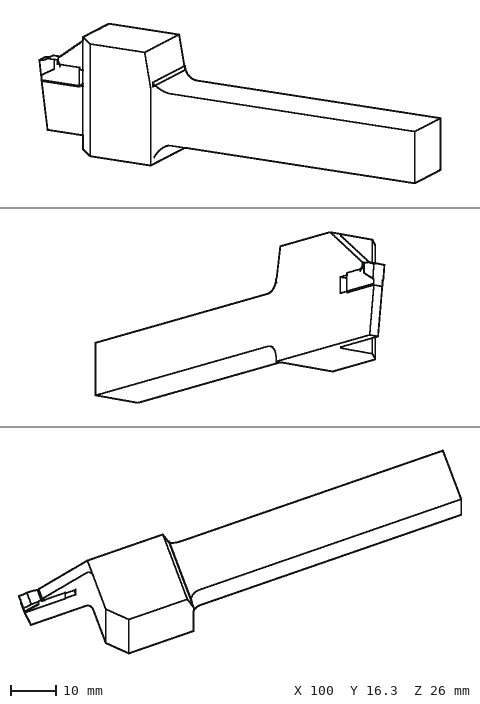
import cadquery as cq

TOOL_LENGTH = 100
HEAD_HEIGHT = 26
HEAD_DEPTH = 16
HEAD_FRONT_X = 16.1
HEAD_REAR_X = 35.4
HEAD_REAR_TOP_X = 33.9
REAR_SLOPE_START_Z = 18
HEAD_CHAMFER = 4
SHANK_SIZE = 12
SHANK_BASE_Z = 4
SHANK_TOP_Z = SHANK_BASE_Z + SHANK_SIZE
NECK_RADIUS = 3

BLADE_THICKNESS = 2.4
BLADE_TOE_X = 1.9
BLADE_ROOT_RADIUS = 1.2
JAW_TIP_X = 4.6
JAW_TIP_TOP_Z = 17.1
JAW_BEVEL = 0.5

SEAT_FLOOR_Z = 11.1
SEAT_ROOF_Z = 15.6
SEAT_FRONT_X = 0.4
SEAT_END_X = 10
INSERT_CENTER_Y = -BLADE_THICKNESS / 2
INSERT_HALF_WIDTH = 1.3
INSERT_OVERHANG = INSERT_HALF_WIDTH - BLADE_THICKNESS / 2
NOSE_TOP_Z = 16.6
NOSE_BACK_X = 4.4
CUTTING_EDGE_Z = 16
CHIP_GROOVE_X = 1
CHIP_GROOVE_Z = 16.1
CHIP_RISE_END_X = 1.9
NOSE_HALF_WIDTH = 1.5
NOSE_FLANK_END_X = 3.7
NOSE_FLANK_END_HALF_WIDTH = 1.4
NOSE_RELIEF_Z = 12.5
NOSE_RELIEF_BACK_Z = 14.4

WINDOW_END_X = 12.5
WINDOW_FLOOR_Z = 11.4
WINDOW_ROOF_Z = 15.1


def side_plate(points, back_y, front_y):
    """Extrude an XZ outline from back_y toward -Y as far as front_y."""
    plane = cq.Workplane("XZ", origin=(0, back_y, 0))
    return plane.polyline(points).close().extrude(back_y - front_y)


def make_tool_plan():
    """Plan of the head and blade, full height, with the blade root rounded."""
    plan = (
        cq.Workplane("XY")
        .polyline([
            (0, 0),
            (HEAD_REAR_X, 0),
            (HEAD_REAR_X, -HEAD_DEPTH),
            (HEAD_FRONT_X + HEAD_CHAMFER, -HEAD_DEPTH),
            (HEAD_FRONT_X, -HEAD_DEPTH + HEAD_CHAMFER),
            (HEAD_FRONT_X, -BLADE_THICKNESS),
            (0, -BLADE_THICKNESS),
        ])
        .close()
        .extrude(HEAD_HEIGHT)
    )
    root = cq.selectors.NearestToPointSelector((HEAD_FRONT_X, -BLADE_THICKNESS, HEAD_HEIGHT / 2))
    return plan.edges("|Z").edges(root).fillet(BLADE_ROOT_RADIUS)


def make_head():
    """Trim the plan to its side outline, including the insert seat."""
    outline = [
        (BLADE_TOE_X, 0),
        (HEAD_REAR_X, 0),
        (HEAD_REAR_X, REAR_SLOPE_START_Z),
        (HEAD_REAR_TOP_X, HEAD_HEIGHT),
        (HEAD_FRONT_X, HEAD_HEIGHT),
        (JAW_TIP_X, JAW_TIP_TOP_Z),
        (JAW_TIP_X, SEAT_ROOF_Z + JAW_BEVEL),
        (JAW_TIP_X + JAW_BEVEL, SEAT_ROOF_Z),
        (SEAT_END_X, SEAT_ROOF_Z),
        (SEAT_END_X, WINDOW_ROOF_Z),
        (WINDOW_END_X, WINDOW_ROOF_Z),
        (WINDOW_END_X, WINDOW_FLOOR_Z),
        (SEAT_END_X, WINDOW_FLOOR_Z),
        (SEAT_END_X, SEAT_FLOOR_Z),
        (SEAT_FRONT_X, SEAT_FLOOR_Z),
    ]
    return make_tool_plan().intersect(side_plate(outline, 0, -HEAD_DEPTH))


def make_neck():
    """Flare that blends the shank into the head on its top, front and base."""
    end_x = HEAD_REAR_X + NECK_RADIUS
    depth = SHANK_SIZE + NECK_RADIUS
    side = (
        cq.Workplane("XZ")
        .moveTo(HEAD_REAR_X, SHANK_BASE_Z - NECK_RADIUS)
        .radiusArc((end_x, SHANK_BASE_Z), NECK_RADIUS)
        .lineTo(end_x, SHANK_TOP_Z)
        .radiusArc((HEAD_REAR_X, SHANK_TOP_Z + NECK_RADIUS), NECK_RADIUS)
        .close()
        .extrude(depth)
    )
    plan = (
        cq.Workplane("XY")
        .moveTo(HEAD_REAR_X, 0)
        .lineTo(end_x, 0)
        .lineTo(end_x, -SHANK_SIZE)
        .radiusArc((HEAD_REAR_X, -depth), -NECK_RADIUS)
        .close()
        .extrude(HEAD_HEIGHT)
    )
    return side.intersect(plan)


def make_holder():
    shank = cq.Workplane("XY").box(
        TOOL_LENGTH - HEAD_REAR_X, SHANK_SIZE, SHANK_SIZE, centered=False
    ).translate((HEAD_REAR_X, -SHANK_SIZE, SHANK_BASE_Z))
    return make_head().union(shank).union(make_neck())


def make_insert_plate(lower_points, half_width):
    """Plate with the curved chip groove on top, closed by points from the top rear round to the front."""
    plane = cq.Workplane("XZ", origin=(0, INSERT_CENTER_Y, 0))
    return (
        plane.moveTo(0, CUTTING_EDGE_Z)
        .threePointArc((CHIP_GROOVE_X, CHIP_GROOVE_Z), (CHIP_RISE_END_X, NOSE_TOP_Z))
        .polyline(lower_points, includeCurrent=True)
        .close()
        .extrude(half_width, both=True)
    )


def make_edge_bevel(side, start_x, edge_z, bevel_end_z):
    """Wedge that bevels one long edge of the part of the insert standing out of the blade."""
    outer_y = INSERT_CENTER_Y + side * INSERT_HALF_WIDTH
    inner_y = outer_y - side * INSERT_OVERHANG
    return (
        cq.Workplane("YZ", origin=(start_x, 0, 0))
        .polyline([(outer_y, edge_z), (inner_y, edge_z), (outer_y, bevel_end_z)])
        .close()
        .extrude(SEAT_END_X - start_x)
    )


def make_insert_shank():
    """Full side profile of the insert, with its long gripped edges beveled."""
    profile = [
        (NOSE_BACK_X, NOSE_TOP_Z),
        (NOSE_BACK_X, SEAT_ROOF_Z),
        (SEAT_END_X, SEAT_ROOF_Z),
        (SEAT_END_X, SEAT_FLOOR_Z),
        (SEAT_FRONT_X, SEAT_FLOOR_Z),
        (SEAT_FRONT_X, NOSE_RELIEF_Z),
    ]
    body = make_insert_plate(profile, INSERT_HALF_WIDTH)
    for side in (1, -1):
        body = body.cut(make_edge_bevel(side, JAW_TIP_X + JAW_BEVEL, SEAT_ROOF_Z, WINDOW_ROOF_Z))
        body = body.cut(make_edge_bevel(side, SEAT_FRONT_X, SEAT_FLOOR_Z, WINDOW_FLOOR_Z))
    return body


def make_nose():
    """Wider cutting nose whose flanks narrow away from the cutting edge."""
    profile = [
        (NOSE_FLANK_END_X, NOSE_TOP_Z),
        (NOSE_FLANK_END_X, NOSE_RELIEF_BACK_Z),
        (SEAT_FRONT_X, NOSE_RELIEF_Z),
    ]
    slab = make_insert_plate(profile, NOSE_HALF_WIDTH)
    flanks = (
        cq.Workplane("XY")
        .polyline([
            (0, INSERT_CENTER_Y + NOSE_HALF_WIDTH),
            (NOSE_FLANK_END_X, INSERT_CENTER_Y + NOSE_FLANK_END_HALF_WIDTH),
            (NOSE_FLANK_END_X, INSERT_CENTER_Y - NOSE_FLANK_END_HALF_WIDTH),
            (0, INSERT_CENTER_Y - NOSE_HALF_WIDTH),
        ])
        .close()
        .extrude(HEAD_HEIGHT)
    )
    return slab.intersect(flanks)


def make_insert():
    return make_insert_shank().union(make_nose())


holder = make_holder()
insert = make_insert()
result = cq.Compound.makeCompound([holder.val(), insert.val()])